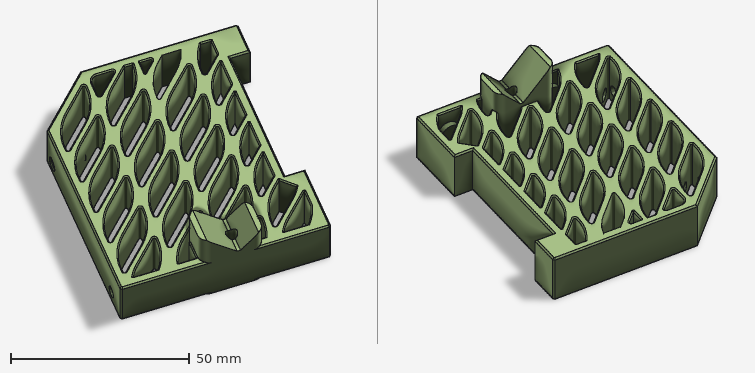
import cadquery as cq
import math

length = 75.0
width = 63.0
thickness = 15.0
corner_cut = 16.0
notch_left = 10.2
notch_right = 54.0
notch_depth = 6.0
edge_chamfer = 0.5

wall = 2.8
notch_wall = 3.0
rim_chamfer = 0.4
leaf_straight = 8.0
leaf_radius = 16.0
leaf_sweep = 51.0
tip_fillet = 0.5
column_pitch = 11.3
row_pitch = 15.1
row_shift = 3.87
first_leaf_x = 14.83
first_leaf_y = 9.07
leaves_per_row = (6, 6, 7, 7)
rimless_leaf = (2, 0)

front_triangle_y = 17.6
front_triangle_leg = 7.9
front_triangle_corner = 2.3
rear_triangle_y = 32.7
rear_triangle_leg = 4.2

block_length = 11.75
block_front = 24.1
block_rear = 43.1
block_fillet = 3.0
block_top = 25.25
block_rear_top = 21.75
vee_floor_z = 16.25
vee_floor_width = 1.0
vee_y = 35.4
block_hole_diameter = 3.4
block_hole_x = length - block_length / 2

side_hole_z = 4.0
side_hole_depth = 9.6
left_hole_x = 20.0
left_hole_diameter = 3.3
left_hole_chamfer = 0.45
right_hole_x = 67.5
right_hole_diameter = 3.4
boss_diameter = 7.0
boss_face_x = 70.3
boss_centres_y = (21.0, 54.0)
boss_z = thickness / 2


def make_body():
    notch_y = width - notch_depth
    outline = [
        (corner_cut, 0),
        (length, 0),
        (length, width),
        (notch_right, width),
        (notch_right, notch_y),
        (notch_left, notch_y),
        (notch_left, width),
        (0, width),
        (0, corner_cut),
    ]
    body = cq.Workplane("XY").polyline(outline).close().extrude(thickness)
    chamfered_corners = ((length, 0), (length, width), (0, width))
    for x, y in chamfered_corners:
        corner = cq.selectors.NearestToPointSelector((x, y, thickness / 2))
        body = body.edges("|Z").edges(corner).chamfer(edge_chamfer)
    return body.faces("<Z or >Z").edges().chamfer(edge_chamfer)


def make_lattice_region():
    """Prism that limits the cells: inside the border, outside the V-block column."""
    inner_rear = width - notch_depth - notch_wall
    step_x = notch_right
    tab_y = width - wall
    outline = [
        (wall, wall),
        (length - wall, wall),
        (length - wall, tab_y),
        (step_x + tab_y - inner_rear, tab_y),
        (step_x, inner_rear),
        (wall, inner_rear),
    ]
    region = cq.Workplane("XY").polyline(outline).close().extrude(thickness)
    column_start = length - block_length + block_fillet
    column = (
        cq.Workplane("XY")
        .moveTo(column_start, block_front - rim_chamfer)
        .lineTo(length, block_front - rim_chamfer)
        .lineTo(length, vee_y)
        .lineTo(column_start, vee_y)
        .close()
        .extrude(thickness)
    )
    return region.cut(column)


def make_leaf(centre_x, centre_y):
    """Leaf prism: two straight 45 degree sides, each running into a tangent arc."""
    start_angle = math.radians(45)
    mid_angle = start_angle - math.radians(leaf_sweep / 2)
    end_angle = start_angle - math.radians(leaf_sweep)

    def arc_run(angle):
        run_x = leaf_radius * (math.sin(start_angle) - math.sin(angle))
        run_y = leaf_radius * (math.cos(angle) - math.cos(start_angle))
        return run_x, run_y

    mid_x, mid_y = arc_run(mid_angle)
    end_x, end_y = arc_run(end_angle)
    half_length = (leaf_straight + end_x) / 2
    half_height = (leaf_straight + end_y) / 2
    bend_x = leaf_straight - half_length
    bend_y = half_height - leaf_straight
    leaf = (
        cq.Workplane("XY", origin=(centre_x, centre_y, 0))
        .moveTo(-half_length, half_height)
        .lineTo(bend_x, bend_y)
        .threePointArc((bend_x + mid_x, bend_y - mid_y), (half_length, -half_height))
        .lineTo(-bend_x, -bend_y)
        .threePointArc((-bend_x - mid_x, -bend_y + mid_y), (-half_length, half_height))
        .close()
        .extrude(thickness)
    )
    return leaf.edges("|Z").edges("<X or >X").fillet(tip_fillet)


def make_triangle(base_y, leg):
    """Right-angled triangle prism against the left border, with a rounded rear tip."""
    outline = [(wall, base_y), (wall + leg, base_y), (wall, base_y + leg)]
    triangle = cq.Workplane("XY").polyline(outline).close().extrude(thickness)
    return triangle.edges("|Z").edges(">Y").fillet(tip_fillet)


def cut_cell(body, cell, with_rim=True):
    """Cut a cell through the plate and widen its top edge with a 45 degree rim."""
    body = body.cut(cell)
    if not with_rim:
        return body
    top_wire = cell.faces(">Z").wires().val()
    rim = (
        cq.Workplane("XY", origin=(0, 0, thickness - rim_chamfer))
        .add(top_wire.translate(cq.Vector(0, 0, -rim_chamfer)))
        .toPending()
        .extrude(rim_chamfer, taper=-45)
    )
    return body.cut(rim)


def cut_lattice(body):
    region = make_lattice_region()
    for row, leaf_count in enumerate(leaves_per_row):
        centre_y = first_leaf_y + row * row_pitch
        for column in range(leaf_count):
            centre_x = first_leaf_x - row * row_shift + column * column_pitch
            cell = make_leaf(centre_x, centre_y).intersect(region)
            body = cut_cell(body, cell, (row, column) != rimless_leaf)
    return body


def cut_triangles(body):
    front_triangle = make_triangle(front_triangle_y, front_triangle_leg)
    front_triangle = front_triangle.edges("|Z").edges(">X").fillet(tip_fillet)
    border_corner = cq.selectors.NearestToPointSelector((wall, front_triangle_y, thickness / 2))
    front_triangle = front_triangle.edges("|Z").edges(border_corner).fillet(front_triangle_corner)
    rear_triangle = make_triangle(rear_triangle_y, rear_triangle_leg)
    return cut_cell(cut_cell(body, front_triangle), rear_triangle)


def add_bosses(body):
    for y in boss_centres_y:
        boss = (
            cq.Workplane("YZ", origin=(boss_face_x, y, boss_z))
            .circle(boss_diameter / 2)
            .extrude(length - edge_chamfer - boss_face_x)
        )
        body = body.union(boss)
    return body


def make_vee_block():
    """V-block on a solid column that runs down through the lattice to the underside."""
    vee_front = vee_y - vee_floor_width / 2
    vee_rear = vee_y + vee_floor_width / 2
    profile = [
        (block_front, 0),
        (block_rear, 0),
        (block_rear, block_rear_top),
        (vee_rear + block_rear_top - vee_floor_z, block_rear_top),
        (vee_rear, vee_floor_z),
        (vee_front, vee_floor_z),
        (vee_front - (block_top - vee_floor_z), block_top),
        (block_front, block_top),
    ]
    block = (
        cq.Workplane("YZ", origin=(length - block_length, 0, 0))
        .polyline(profile)
        .close()
        .extrude(block_length)
    )
    return block.edges("|Z").fillet(block_fillet)


def cut_block_hole(body):
    hole = (
        cq.Workplane("XY", origin=(block_hole_x, vee_y, 0))
        .circle(block_hole_diameter / 2)
        .extrude(block_top)
    )
    return body.cut(hole)


def cut_side_hole(body, x, diameter, entry_chamfer=0.0):
    """Blind hole into the front side, with an optional countersunk entry."""
    radius = diameter / 2
    hole = cq.Workplane("XZ", origin=(x, 0, side_hole_z)).circle(radius).extrude(-side_hole_depth)
    if entry_chamfer:
        hole = hole.union(
            cq.Workplane("XZ", origin=(x, 0, side_hole_z))
            .circle(radius + entry_chamfer)
            .extrude(-entry_chamfer, taper=45)
        )
    return body.cut(hole)


result = make_body()
result = cut_lattice(result)
result = cut_triangles(result)
result = add_bosses(result)
result = result.union(make_vee_block())
result = cut_block_hole(result)
result = cut_side_hole(result, left_hole_x, left_hole_diameter, left_hole_chamfer)
result = cut_side_hole(result, right_hole_x, right_hole_diameter)